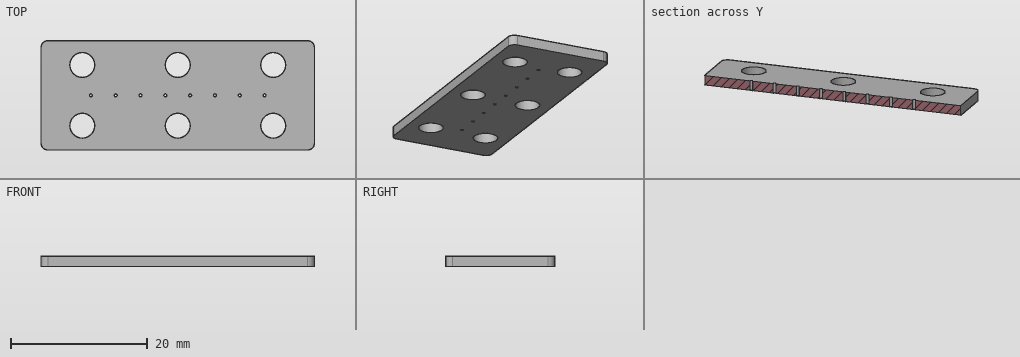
import cadquery as cq

length = 40.0
width = 16.0
thickness = 1.5
corner_radius = 1.0

large_hole_diameter = 3.6
large_hole_columns = 3
large_hole_rows = 2
large_hole_spacing_x = 13.95
large_hole_spacing_y = 8.9

pinhole_diameter = 0.4
pinhole_count = 8
pinhole_row_length = 25.4
pinhole_pitch = pinhole_row_length / (pinhole_count - 1)


def make_plate():
    """Flat plate with rounded corners, centred on the origin."""
    plate = cq.Workplane("XY").box(length, width, thickness)
    return plate.edges("|Z").fillet(corner_radius)


def drill_grid(body, diameter, columns, rows, spacing_x, spacing_y):
    """Drill a centred grid of through holes from the top face."""
    top = body.faces(">Z").workplane(origin=(0, 0, 0))
    return top.rarray(spacing_x, spacing_y, columns, rows).hole(diameter)


result = make_plate()
result = drill_grid(
    result,
    large_hole_diameter,
    large_hole_columns,
    large_hole_rows,
    large_hole_spacing_x,
    large_hole_spacing_y,
)
result = drill_grid(result, pinhole_diameter, pinhole_count, 1, pinhole_pitch, pinhole_pitch)